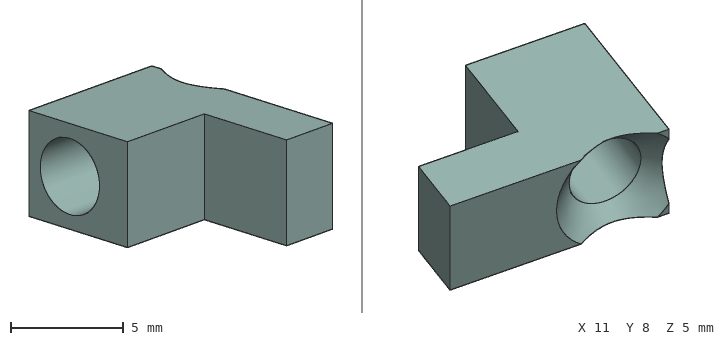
import cadquery as cq

length = 11.0
depth = 8.0
height = 5.0

body_width = 6.0
arm_thickness = 3.0

hole_diameter = 3.6
hole_x = 2.5
hole_z = height / 2
countersink_diameter = 6.3
countersink_angle = 90.0


def l_block():
    """L-shaped block with one corner at the origin."""
    body = cq.Workplane("XY").box(body_width, depth, height, centered=False)
    arm = (
        cq.Workplane("XY")
        .box(length, arm_thickness, height, centered=False)
        .translate((0, depth - arm_thickness, 0))
    )
    return body.union(arm).clean()


def countersink_back(block):
    """Drill through along Y; the countersink breaks out of the nearby sides."""
    return (
        block.faces(">Y")
        .workplane(origin=(hole_x, depth, hole_z))
        .cskHole(hole_diameter, countersink_diameter, countersink_angle)
    )


result = countersink_back(l_block())